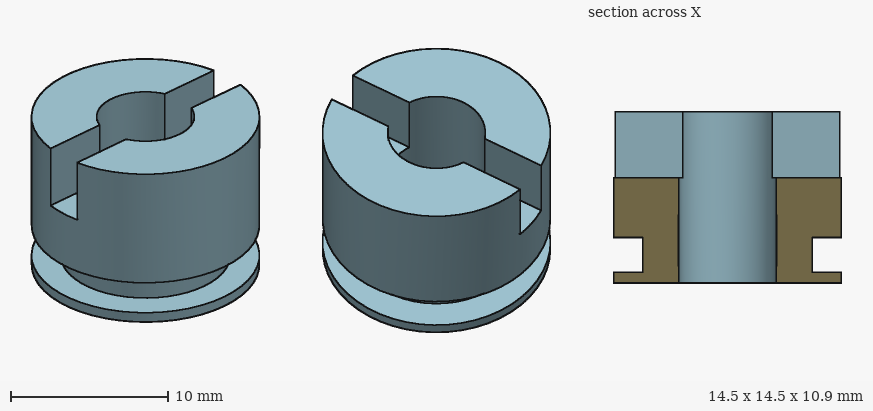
import cadquery as cq

outer_diameter = 14.5
total_height = 10.9
neck_diameter = 10.8
bore_diameter = 6.2
flange_thickness = 0.7
neck_height = 2.2
slot_width = 2.45
slot_depth = 4.2

head_bottom = flange_thickness + neck_height
head_height = total_height - head_bottom


def cylinder(diameter, bottom, height):
    """Cylinder on the Z axis standing on the given level."""
    return cq.Workplane("XY").workplane(offset=bottom).circle(diameter / 2).extrude(height)


flange = cylinder(outer_diameter, 0, flange_thickness)
neck = cylinder(neck_diameter, flange_thickness, neck_height)
head = cylinder(outer_diameter, head_bottom, head_height)
body = flange.union(neck).union(head)

bore = cylinder(bore_diameter, 0, total_height)

slot = (
    cq.Workplane("XY")
    .workplane(offset=total_height - slot_depth)
    .rect(slot_width, outer_diameter)
    .extrude(slot_depth)
)

result = body.cut(bore).cut(slot)